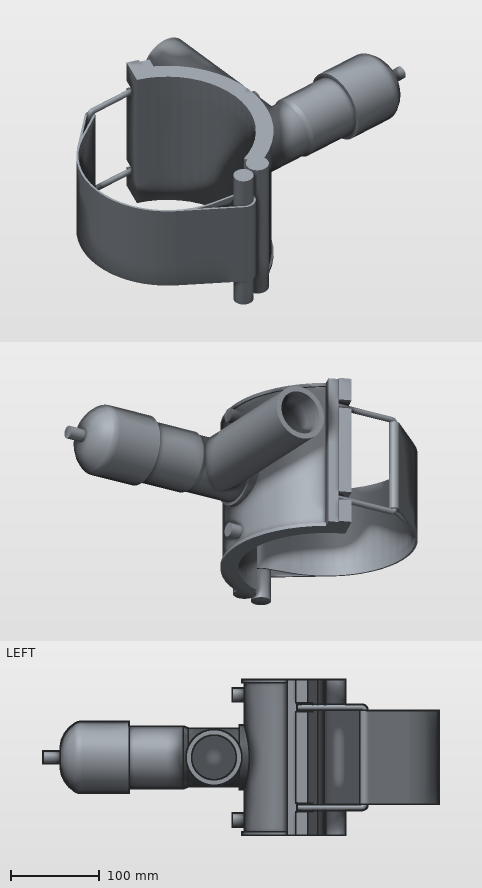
import cadquery as cq
import math


PIPE_RADIUS = 100.0
SADDLE_RADIUS = 120.0
SADDLE_HEIGHT = 176.0
END_ANGLE = 20.0
GROOVE_RADIUS = 117.5
RIM_WIDTH = 4.0
BEAD_RADIUS = 13.0
BEAD_OFFSET = GROOVE_RADIUS

LUG_LOW_RADIUS = 134.0
LUG_HIGH_RADIUS = 130.5
LUG_STEP = 14.5
LUG_HEIGHT = 26.0
SLOT_WIDTH = 10.0
SLOT_FLOOR = 117.0
SLOT_CORNER_RADIUS = 2.0

FLANGE_DIAMETER = 73.2
FLANGE_TOP = 123.0
SHAFT_DIAMETER = 66.0
SLEEVE_DIAMETER = 70.76
SLEEVE_BOTTOM = 186.0
SLEEVE_TAPER = 5.5
CAP_DIAMETER = 81.33
CAP_BOTTOM = 247.0
CAP_SHOULDER = 301.0
CAP_RIM = 308.0
CAP_RIM_RADIUS = 38.6
CAP_DOME = 321.0
CAP_DOME_RADIUS = 25.0
CAP_TOP = 325.0
STEM_DIAMETER = 14.64
TOWER_TOP = 344.5

BRANCH_DIAMETER = 63.0
BRANCH_BORE = 50.4
BRANCH_END = -185.9
BRANCH_Y = 151.5

TERMINAL_DIAMETER = 16.0
TERMINAL_TOP = 131.0
TERMINAL_Z = 70.5

STRAP_WIDTH = 106.0
STRAP_THICKNESS = 2.5
STRAP_RADIUS = PIPE_RADIUS + STRAP_THICKNESS
STRAP_REACH = 131.05
PIN_RADIUS = 22.77 / 2
PIN_LOOP_RADIUS = PIN_RADIUS + STRAP_THICKNESS
WIRE_RADIUS = 6.8 / 2
WIRE_X = -113.2
WIRE_CROSS_Y = -18.7
WIRE_BEND_RADIUS = 3.5
WIRE_LEG_Z = STRAP_WIDTH / 2 + WIRE_BEND_RADIUS


def polar(radius, degrees, center=(0.0, 0.0)):
    angle = math.radians(degrees)
    return (center[0] + radius * math.cos(angle), center[1] + radius * math.sin(angle))


def upright(sketch, height):
    """Extrude an XY outline evenly to both sides of the mid plane."""
    return sketch.extrude(height / 2, both=True)


def sector(center, inner, outer, start, end, height):
    """Part of a ring, running counterclockwise from start to end in degrees."""
    middle = (start + end) / 2
    outline = (
        cq.Workplane("XY")
        .moveTo(*polar(inner, start, center))
        .lineTo(*polar(outer, start, center))
        .threePointArc(polar(outer, middle, center), polar(outer, end, center))
        .lineTo(*polar(inner, end, center))
        .threePointArc(polar(inner, middle, center), polar(inner, start, center))
        .close()
    )
    return upright(outline, height)


BEAD_CENTER = polar(BEAD_OFFSET, END_ANGLE)

PIN_X = STRAP_REACH - PIN_LOOP_RADIUS
PIN_Y = BEAD_CENTER[1] - math.sqrt((BEAD_RADIUS + PIN_LOOP_RADIUS) ** 2 - (PIN_X - BEAD_CENTER[0]) ** 2)


def saddle_shell():
    shell = sector((0, 0), PIPE_RADIUS, GROOVE_RADIUS, END_ANGLE, 180 - END_ANGLE, SADDLE_HEIGHT)
    rim = sector((0, 0), PIPE_RADIUS, SADDLE_RADIUS, END_ANGLE, 180 - END_ANGLE, RIM_WIDTH)
    rim_z = (SADDLE_HEIGHT - RIM_WIDTH) / 2
    for z in (-rim_z, rim_z):
        shell = shell.union(rim.translate((0, 0, z)))
    bead = upright(cq.Workplane("XY").center(*BEAD_CENTER).circle(BEAD_RADIUS), SADDLE_HEIGHT)
    return shell.union(bead)


def lug():
    """Stepped lug, drawn on the -X axis and turned to the end face of the saddle."""
    root = (PIPE_RADIUS + SADDLE_RADIUS) / 2
    outline = (
        cq.Workplane("XY")
        .moveTo(-root, 0)
        .lineTo(-LUG_LOW_RADIUS, 0)
        .lineTo(-LUG_LOW_RADIUS, LUG_STEP)
        .lineTo(-LUG_HIGH_RADIUS, LUG_STEP)
        .lineTo(-LUG_HIGH_RADIUS, LUG_HEIGHT)
        .lineTo(-root, LUG_HEIGHT)
        .close()
    )
    block = upright(outline, SADDLE_HEIGHT)
    slot_depth = LUG_LOW_RADIUS - SLOT_FLOOR
    slot = (
        cq.Workplane("XY")
        .box(slot_depth, LUG_STEP, SLOT_WIDTH, centered=(False, False, True))
        .edges("|Y and >X")
        .fillet(SLOT_CORNER_RADIUS)
        .translate((-LUG_LOW_RADIUS, 0, 0))
    )
    for z in (-WIRE_LEG_Z, WIRE_LEG_Z):
        block = block.cut(slot.translate((0, 0, z)))
    return block.rotate((0, 0, 0), (0, 0, 1), -END_ANGLE)


def tower():
    """Turned profile: X is the radius and Y the height on the tower axis."""
    shaft_radius = SHAFT_DIAMETER / 2
    sleeve_radius = SLEEVE_DIAMETER / 2
    cap_radius = CAP_DIAMETER / 2
    stem_radius = STEM_DIAMETER / 2
    profile = (
        cq.Workplane("XY")
        .lineTo(FLANGE_DIAMETER / 2, 0)
        .lineTo(FLANGE_DIAMETER / 2, FLANGE_TOP)
        .lineTo(shaft_radius, FLANGE_TOP)
        .lineTo(shaft_radius, SLEEVE_BOTTOM - SLEEVE_TAPER)
        .lineTo(sleeve_radius, SLEEVE_BOTTOM)
        .lineTo(sleeve_radius, CAP_BOTTOM)
        .lineTo(cap_radius, CAP_BOTTOM)
        .lineTo(cap_radius, CAP_SHOULDER)
        .tangentArcPoint((CAP_RIM_RADIUS, CAP_RIM), relative=False)
        .threePointArc((CAP_DOME_RADIUS, CAP_DOME), (stem_radius, CAP_TOP))
        .lineTo(stem_radius, TOWER_TOP)
        .lineTo(0, TOWER_TOP)
        .close()
    )
    return profile.revolve(360, (0, 0), (0, 1))


def branch_rod(diameter, length):
    """Round rod along +X that starts at the open end of the branch."""
    start = cq.Workplane("YZ", origin=(BRANCH_END, BRANCH_Y, 0))
    return start.circle(diameter / 2).extrude(length)


def terminals():
    spots = [(0, -TERMINAL_Z), (0, TERMINAL_Z)]
    return (
        cq.Workplane("XZ", origin=(0, TERMINAL_TOP, 0))
        .pushPoints(spots)
        .circle(TERMINAL_DIAMETER / 2)
        .extrude(TERMINAL_TOP - PIPE_RADIUS)
    )


pipe_space = upright(cq.Workplane("XY").circle(PIPE_RADIUS), SADDLE_HEIGHT)
branch = branch_rod(BRANCH_DIAMETER, -BRANCH_END)
branch_bore = branch_rod(BRANCH_BORE, -BRANCH_END - SHAFT_DIAMETER / 2)
fittings = tower().union(branch).cut(branch_bore).union(terminals()).cut(pipe_space)
saddle = saddle_shell().union(lug()).union(fittings)


def loop_angles(center, loop_radius, side):
    """Directions, seen from the pipe axis, in which the two strap legs to a loop are tangent."""
    distance = math.hypot(*center)
    direction = math.degrees(math.atan2(center[1], center[0]))
    inner_turn = math.degrees(math.acos((PIPE_RADIUS + loop_radius) / distance))
    outer_turn = math.degrees(math.acos((STRAP_RADIUS - loop_radius) / distance))
    return direction - side * inner_turn, direction - side * outer_turn


def leg(center, loop_inner, loop_outer, degrees):
    """Straight strap leg, tangent to the strap arc and to its loop."""
    outline = cq.Workplane("XY").polyline(
        [
            polar(PIPE_RADIUS, degrees),
            polar(STRAP_RADIUS, degrees),
            polar(loop_outer, degrees, center),
            polar(loop_inner, degrees, center),
        ]
    )
    return upright(outline.close(), STRAP_WIDTH)


def strap_loop(center, core_radius, side):
    """Loop around a round core with its two legs; side is 1 at +X and -1 at -X."""
    outer = core_radius + STRAP_THICKNESS
    inner_angle, outer_angle = loop_angles(center, outer, side)
    inner_leg = leg(center, -outer, -core_radius, inner_angle)
    outer_leg = leg(center, core_radius, outer, outer_angle)
    start, end = sorted((outer_angle, inner_angle + side * 180))
    wrap = sector(center, core_radius, outer, start, end, STRAP_WIDTH)
    return wrap.union(inner_leg).union(outer_leg)


def wire_bail():
    """U-shaped wire: a cross bar along Z and two legs that rise along Y into the lug slots."""
    bend_y = WIRE_CROSS_Y + WIRE_BEND_RADIUS
    bar = upright(cq.Workplane("XY").center(WIRE_X, WIRE_CROSS_Y).circle(WIRE_RADIUS), STRAP_WIDTH)
    elbow = (
        cq.Workplane("XY", origin=(WIRE_X, WIRE_CROSS_Y, STRAP_WIDTH / 2))
        .circle(WIRE_RADIUS)
        .revolve(90, (0, WIRE_BEND_RADIUS), (-1, WIRE_BEND_RADIUS))
    )
    leg_length = polar(LUG_HIGH_RADIUS, END_ANGLE)[1] + polar(LUG_STEP, 90 - END_ANGLE)[1] - bend_y
    straight = (
        cq.Workplane("XZ", origin=(WIRE_X, bend_y, WIRE_LEG_Z))
        .circle(WIRE_RADIUS)
        .extrude(-leg_length)
    )
    upper = elbow.union(straight)
    return bar.union(upper).union(upper.mirror("XY"))


pin_center = (PIN_X, PIN_Y)
wire_center = (WIRE_X, WIRE_CROSS_Y)
right_end = loop_angles(pin_center, PIN_LOOP_RADIUS, 1)[0]
left_end = loop_angles(wire_center, WIRE_RADIUS + STRAP_THICKNESS, -1)[0]

strap = sector((0, 0), PIPE_RADIUS, STRAP_RADIUS, left_end, right_end, STRAP_WIDTH)
strap = strap.union(strap_loop(pin_center, PIN_RADIUS, 1))
strap = strap.union(strap_loop(wire_center, WIRE_RADIUS, -1))
strap = strap.union(upright(cq.Workplane("XY").center(*pin_center).circle(PIN_RADIUS), SADDLE_HEIGHT))
strap = strap.union(wire_bail().cut(saddle))

result = cq.Compound.makeCompound([saddle.solids().val(), strap.solids().val()])